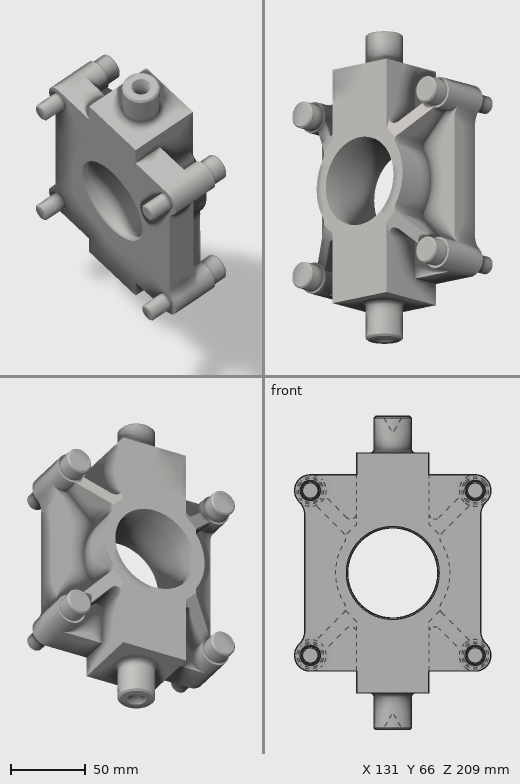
import cadquery as cq
import math

total_height = 209
block_width = 48.0
block_height = 160.0
block_depth = 50.0

flange_width = 131.0
waist_width = 117.5
plate_thickness = 21.1
boss_diameter = 21.1
boss_height = 34.3
waist_fillet = 12.5

hub_diameter = 76.3
bore_diameter = 60.0
bore_chamfer = 1.0

rib_thickness = 8.8
rib_slope_angle = 30
rib_hub_fillet = 5.0
rib_block_fillet = 4.0

trunnion_diameter = 25.0
trunnion_fillet = 2.5
trunnion_chamfer = 1.3
center_diameter = 13.0
center_floor_diameter = 1.5
center_angle = 60

clearance_diameter = 13.5
shank_diameter = 12.0
shank_projection = 16.0
shank_chamfer = 0.8
head_diameter = 18.0
head_height = 12.0
head_chamfer = 1.0

boss_radius = boss_diameter / 2
boss_offset = (flange_width - boss_diameter) / 2
hub_radius = hub_diameter / 2
trunnion_length = (total_height - block_height) / 2
corner_signs = [(sx, sz) for sx in (-1, 1) for sz in (-1, 1)]
boss_centers = [(sx * boss_offset, sz * boss_offset) for sx, sz in corner_signs]


def cylinder_y(x, z, y_start, y_end, diameter):
    """Cylinder along Y between two Y positions."""
    base = cq.Workplane("XZ", origin=(x, y_start, z))
    return base.circle(diameter / 2).extrude(y_start - y_end)


def box_y(width, depth, height):
    """Box centred in X and Z, standing on y = 0."""
    return cq.Workplane("XY").box(width, depth, height).translate((0, depth / 2, 0))


def make_rib_blank():
    """Full-depth rib along +X, from the bore axis to a boss axis."""
    reach = math.hypot(boss_offset, boss_offset)
    return box_y(reach, block_depth, rib_thickness).translate((reach / 2, 0, 0))


def make_slope_cutter():
    """Wedge along +X that slopes the rib's back from the boss edge up to the full depth."""
    boss_edge = math.hypot(boss_offset, boss_offset) - boss_radius
    rise = block_depth - boss_height
    slope = math.tan(math.radians(rib_slope_angle))
    slope_start = boss_edge - rise / slope
    far_end = slope_start + block_depth / slope
    return (
        cq.Workplane("XY")
        .polyline([(slope_start, block_depth), (far_end, block_depth), (far_end, 0)])
        .close()
        .extrude(boss_diameter, both=True)
    )


def on_diagonals(shape):
    """The shape, drawn along +X, turned onto each of the four diagonals."""
    return [shape.rotate((0, 0, 0), (0, 1, 0), 45 + 90 * turn) for turn in range(4)]


def fillet_at(body, points, radius):
    """Round the edges along Y that pass through the given (x, z) points."""
    middle = block_depth / 2
    edges = body.edges("|Y")
    picked = [
        min(edges.vals(), key=lambda edge: (edge.Center() - cq.Vector(x, middle, z)).Length)
        for x, z in points
    ]
    return body.newObject(picked).fillet(radius)


def make_core():
    """Trunnion block, hub and sloped ribs."""
    block = box_y(block_width, block_depth, block_height)
    core = block.union(cylinder_y(0, 0, 0, block_depth, hub_diameter))
    for rib in on_diagonals(make_rib_blank()):
        core = core.union(rib)

    half_thickness = rib_thickness / 2
    hub_corner_angle = math.pi / 4 - math.asin(half_thickness / hub_radius)
    hub_x = hub_radius * math.cos(hub_corner_angle)
    hub_z = hub_radius * math.sin(hub_corner_angle)
    core = fillet_at(core, [(sx * hub_x, sz * hub_z) for sx, sz in corner_signs], rib_hub_fillet)

    block_x = block_width / 2
    block_z = block_x + half_thickness * math.sqrt(2)
    core = fillet_at(core, [(sx * block_x, sz * block_z) for sx, sz in corner_signs], rib_block_fillet)

    for wedge in on_diagonals(make_slope_cutter()):
        core = core.cut(wedge.cut(block))
    return core


def make_flange():
    """Flange plate with its waisted sides, and the four corner bosses."""
    boss_spacing = 2 * boss_offset
    plate = box_y(waist_width, plate_thickness, boss_spacing)
    plate = plate.union(box_y(boss_spacing, plate_thickness, flange_width))

    blend_x = waist_width / 2 + waist_fillet
    blend_drop = math.sqrt((boss_radius + waist_fillet) ** 2 - (blend_x - boss_offset) ** 2)
    blend_z = boss_offset - blend_drop
    for sx, sz in corner_signs:
        web = (
            cq.Workplane("XZ")
            .polyline([
                (sx * boss_offset, sz * blend_z),
                (sx * blend_x, sz * blend_z),
                (sx * boss_offset, sz * boss_offset),
            ])
            .close()
            .extrude(-plate_thickness)
        )
        round_cut = cylinder_y(sx * blend_x, sz * blend_z, 0, plate_thickness, 2 * waist_fillet)
        plate = plate.union(web.cut(round_cut))
    for x, z in boss_centers:
        plate = plate.union(cylinder_y(x, z, 0, boss_height, boss_diameter))
    return plate


def make_trunnion():
    """Upper trunnion with a fillet at its root and a flat-bottomed conical centre in its end."""
    radius = trunnion_diameter / 2
    root = block_height / 2
    tip = root + trunnion_length
    center_radius = center_diameter / 2
    floor_radius = center_floor_diameter / 2
    center_depth = (center_radius - floor_radius) / math.tan(math.radians(center_angle / 2))
    bend = trunnion_fillet * (1 - math.sqrt(0.5))
    profile = (
        cq.Workplane("XZ")
        .moveTo(0, 0)
        .lineTo(radius + trunnion_fillet, 0)
        .lineTo(radius + trunnion_fillet, root)
        .threePointArc((radius + bend, root + bend), (radius, root + trunnion_fillet))
        .lineTo(radius, tip - trunnion_chamfer)
        .lineTo(radius - trunnion_chamfer, tip)
        .lineTo(center_radius, tip)
        .lineTo(floor_radius, tip - center_depth)
        .lineTo(0, tip - center_depth)
        .close()
    )
    return profile.revolve(360, (0, 0, 0), (0, 1, 0)).translate((0, block_depth / 2, 0))


def make_bore_cutter():
    """Through bore, chamfered at the mounting face."""
    radius = bore_diameter / 2
    profile = (
        cq.Workplane("XY")
        .polyline([
            (0, 0),
            (radius + bore_chamfer, 0),
            (radius, bore_chamfer),
            (radius, block_depth),
            (0, block_depth),
        ])
        .close()
    )
    return profile.revolve(360, (0, 0, 0), (0, 1, 0))


def make_housing():
    trunnion = make_trunnion()
    housing = make_core().union(make_flange())
    housing = housing.union(trunnion).union(trunnion.mirror("XY"))
    housing = housing.cut(make_bore_cutter())
    for x, z in boss_centers:
        housing = housing.cut(cylinder_y(x, z, 0, boss_height, clearance_diameter))
    return housing


def make_screw(x, z):
    """Screw whose head rests on the back of a boss."""
    shank = cylinder_y(x, z, -shank_projection, boss_height, shank_diameter)
    shank = shank.faces("<Y").chamfer(shank_chamfer)
    head = cylinder_y(x, z, boss_height, boss_height + head_height, head_diameter)
    head = head.faces(">Y").chamfer(head_chamfer)
    return shank.union(head)


housing = make_housing()
screws = [make_screw(x, z) for x, z in boss_centers]

result = cq.Compound.makeCompound([housing.val(), *[screw.val() for screw in screws]])